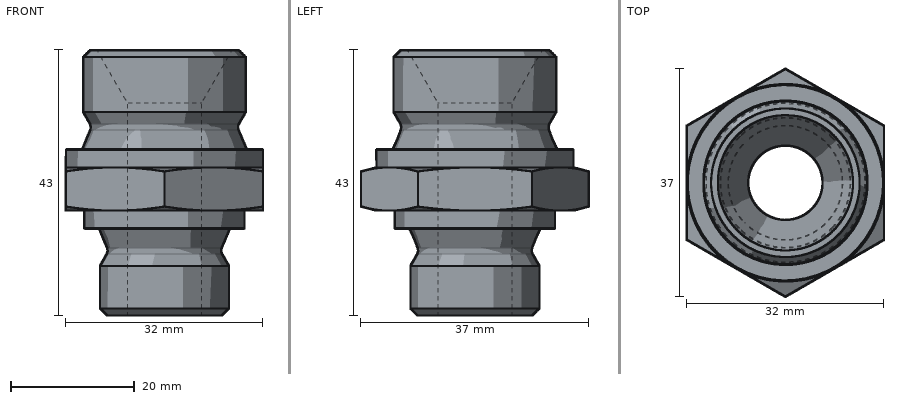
import cadquery as cq
import math

total_length = 43.0
lower_collar_bottom = 14.0
hex_bottom = 17.0
hex_top = 24.0
upper_collar_top = 26.95

hex_across_flats = 32.0
upper_collar_diameter = hex_across_flats
lower_collar_diameter = 26.0
upper_thread_diameter = 26.4
lower_thread_diameter = 20.95
bore_diameter = 12.0
mouth_diameter = 21.95

upper_thread_length = 10.0
lower_thread_length = 8.05
end_chamfer = 1.15
neck_flare = 0.15
neck_taper_length = 2.4
neck_taper_angle = 30.0
neck_fillet = 1.1

collar_edge_chamfer = 0.17
hex_chamfer_angle = 15.0
mouth_half_angle = 30.0


def cylinder(diameter, bottom, top):
    return cq.Workplane("XY").workplane(offset=bottom).circle(diameter / 2).extrude(top - bottom)


def threaded_end(diameter, collar_z, end_z, thread_length):
    """Chamfered thread cylinder joined to its collar by a rounded V neck."""
    outward = math.copysign(1, end_z - collar_z)
    radius = diameter / 2
    thread_start = end_z - outward * thread_length
    apex_z = thread_start - outward * neck_taper_length
    apex_radius = radius - neck_taper_length * math.tan(math.radians(neck_taper_angle))
    body = (
        cq.Workplane("XZ")
        .moveTo(0, collar_z)
        .lineTo(radius + neck_flare, collar_z)
        .lineTo(apex_radius, apex_z)
        .lineTo(radius, thread_start)
        .lineTo(radius, end_z - outward * end_chamfer)
        .lineTo(radius - end_chamfer, end_z)
        .lineTo(0, end_z)
        .close()
        .revolve(360, (0, 0, 0), (0, 1, 0))
    )
    box_size = 2 * diameter
    apex_edge = cq.selectors.BoxSelector(
        (-box_size, -box_size, apex_z - neck_fillet / 2),
        (box_size, box_size, apex_z + neck_fillet / 2),
    )
    return body.edges("%CIRCLE").edges(apex_edge).fillet(neck_fillet)


def chamfered_hexagon():
    """Hexagon with corners along Y, both faces turned down at the corners."""
    corner_radius = hex_across_flats / math.sqrt(3)
    flat_radius = hex_across_flats / 2
    corner_drop = (corner_radius - flat_radius) * math.tan(math.radians(hex_chamfer_angle))
    prism = (
        cq.Workplane("XY")
        .workplane(offset=hex_bottom)
        .polygon(6, 2 * corner_radius)
        .extrude(hex_top - hex_bottom)
        .rotate((0, 0, 0), (0, 0, 1), 30)
    )
    envelope = (
        cq.Workplane("XZ")
        .moveTo(0, hex_bottom)
        .lineTo(flat_radius, hex_bottom)
        .lineTo(corner_radius, hex_bottom + corner_drop)
        .lineTo(corner_radius, hex_top - corner_drop)
        .lineTo(flat_radius, hex_top)
        .lineTo(0, hex_top)
        .close()
        .revolve(360, (0, 0, 0), (0, 1, 0))
    )
    return prism.intersect(envelope)


def bore_with_conical_mouth():
    """Through bore that opens into a cone at the upper end."""
    bore_radius = bore_diameter / 2
    mouth_radius = mouth_diameter / 2
    mouth_depth = (mouth_radius - bore_radius) / math.tan(math.radians(mouth_half_angle))
    return (
        cq.Workplane("XZ")
        .lineTo(bore_radius, 0)
        .lineTo(bore_radius, total_length - mouth_depth)
        .lineTo(mouth_radius, total_length)
        .lineTo(0, total_length)
        .close()
        .revolve(360, (0, 0, 0), (0, 1, 0))
    )


upper_collar = cylinder(upper_collar_diameter, hex_top, upper_collar_top)
upper_collar = upper_collar.faces(">Z").chamfer(collar_edge_chamfer)
lower_collar = cylinder(lower_collar_diameter, lower_collar_bottom, hex_bottom)
lower_collar = lower_collar.faces("<Z").chamfer(collar_edge_chamfer)
upper_end = threaded_end(upper_thread_diameter, upper_collar_top, total_length, upper_thread_length)
lower_end = threaded_end(lower_thread_diameter, lower_collar_bottom, 0, lower_thread_length)

result = (
    chamfered_hexagon()
    .union(upper_collar)
    .union(lower_collar)
    .union(upper_end)
    .union(lower_end)
    .cut(bore_with_conical_mouth())
)